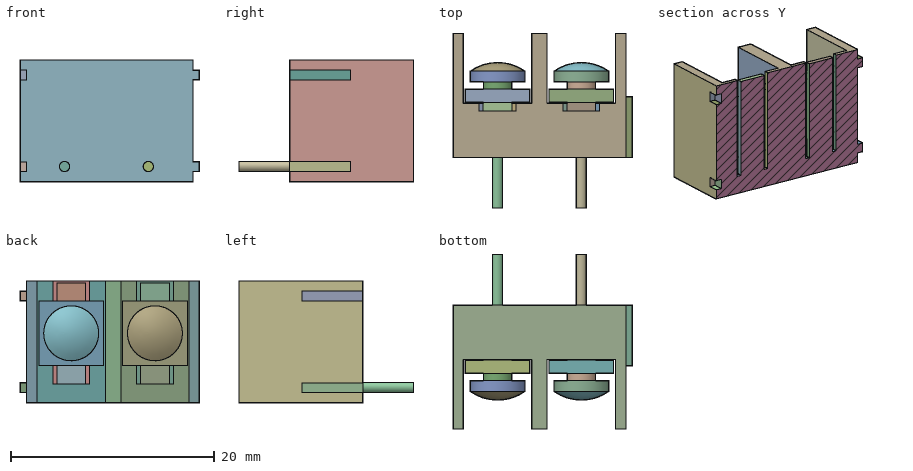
import cadquery as cq


total_width = 17.63
total_depth = 17.2
pole_count = 2

body_width = 17.03
body_depth = 12.22
body_height = 12.0
left_wall = 1.0
bay_width = 6.72
pole_pitch = 8.25
bay_floor_y = 5.36
bay_lefts = [left_wall + pole * pole_pitch for pole in range(pole_count)]
pole_centers = [bay_left + bay_width / 2 for bay_left in bay_lefts]

rail_projection = total_width - body_width
rail_length = 6.0
rail_height = 0.97
rail_margin = 1.0
rail_bottoms = [rail_margin, body_height - rail_margin - rail_height]
lower_slot_height = 0.93
slot_heights = [lower_slot_height, rail_height]

recess_width = 3.61
recess_depth = 0.78
strip_width = 2.82
strip_top_gap = 0.2
plate_gap = 0.07

screw_z = 6.84
plate_size = 6.38
plate_thickness = 1.3
neck_diameter = 2.82
neck_length = 0.7
head_diameter = 5.41
head_thickness = 1.05
dome_height = 0.86

pin_diameter = 1.0
pin_length = total_depth - body_depth
pin_z = 1.5

recess_floor_y = bay_floor_y - recess_depth
plate_y = bay_floor_y + plate_gap
neck_y = plate_y + plate_thickness
head_y = neck_y + neck_length

strip_top = body_height - strip_top_gap
strip_bottom = 2 * screw_z - strip_top


def box(x, y, z, width, depth, height):
    """Box whose lowest corner is at (x, y, z)."""
    return cq.Workplane("XY").box(width, depth, height, centered=False).translate((x, y, z))


def housing():
    """Block with open screw bays, strip recesses, side slots and side rails."""
    body = box(0, 0, 0, body_width, body_depth, body_height)
    for bay_left, center in zip(bay_lefts, pole_centers):
        body = body.cut(box(bay_left, bay_floor_y, 0, bay_width, body_depth - bay_floor_y, body_height))
        body = body.cut(
            box(
                center - recess_width / 2, recess_floor_y, strip_bottom,
                recess_width, recess_depth, body_height - strip_bottom,
            )
        )
    for rail_bottom, slot_height in zip(rail_bottoms, slot_heights):
        body = body.cut(box(0, 0, rail_bottom, rail_projection, rail_length, slot_height))
        body = body.union(box(body_width, 0, rail_bottom, rail_projection, rail_length, rail_height))
    return body


def contact(center):
    """Strip and clamp plate of one pole."""
    strip = box(
        center - strip_width / 2, recess_floor_y, strip_bottom,
        strip_width, plate_y - recess_floor_y, strip_top - strip_bottom,
    )
    plate = box(
        center - plate_size / 2, plate_y, screw_z - plate_size / 2,
        plate_size, plate_thickness, plate_size,
    )
    return strip.union(plate)


def screw(center):
    """Neck and domed head, revolved about an axis parallel to Y."""
    neck_radius = neck_diameter / 2
    head_radius = head_diameter / 2
    rim_y = head_y + head_thickness
    apex_y = rim_y + dome_height
    dome_radius = (head_radius**2 + dome_height**2) / (2 * dome_height)
    mid_radius = head_radius / 2
    mid_y = apex_y - dome_radius + (dome_radius**2 - mid_radius**2) ** 0.5
    return (
        cq.Workplane("XY")
        .moveTo(0, neck_y)
        .lineTo(neck_radius, neck_y)
        .lineTo(neck_radius, head_y)
        .lineTo(head_radius, head_y)
        .lineTo(head_radius, rim_y)
        .threePointArc((mid_radius, mid_y), (0, apex_y))
        .close()
        .revolve(360, (0, 0, 0), (0, 1, 0))
        .translate((center, 0, screw_z))
    )


def pin(center):
    """Round solder pin standing out of the mounting face."""
    return cq.Workplane("XZ").center(center, pin_z).circle(pin_diameter / 2).extrude(pin_length)


result = housing()
for pole_center in pole_centers:
    result = result.union(contact(pole_center)).union(screw(pole_center)).union(pin(pole_center))